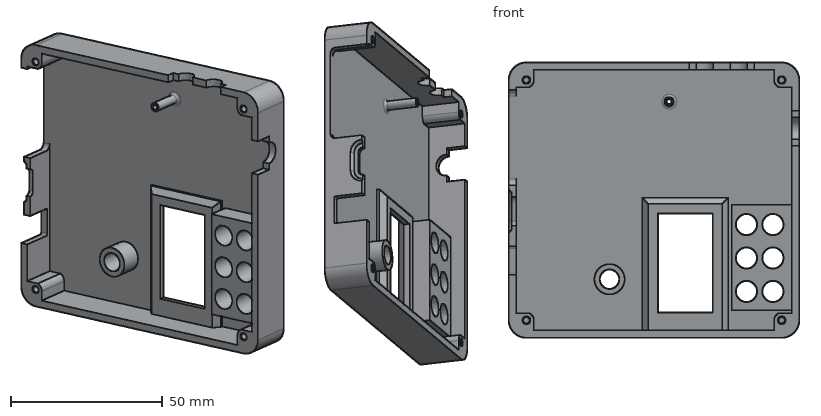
import cadquery as cq
import math


LENGTH = 96.0
HEIGHT = 91.0
DEPTH = 14.8
WALL = 2.5
FLOOR = 2.0
CORNER_RADIUS = 6.0

SCREW_INSET = 5.9
POST_RADIUS = 2.5
POST_FLAT = 8.2
SCREW_DIAMETER = 2.1
SCREW_MOUTH_DIAMETER = 2.6
SCREW_DEPTH = 9.6

FRAME_LEFT = 44.1
FRAME_RIGHT = 72.5
FRAME_TOP = 46.3
FRAME_FRONT = 5.0
FRAME_BEVEL = 2.0
WINDOW_LEFT = 49.3
WINDOW_RIGHT = 67.4
WINDOW_BOTTOM = 8.4
WINDOW_TOP = 41.1
WINDOW_LAND = 2.0

BLOCK_LEFT = 73.6
BLOCK_BOTTOM = 9.1
BLOCK_TOP = 44.0
BLOCK_FRONT = 9.8
BUTTON_DIAMETER = 6.9
BUTTON_COLUMNS = 2
BUTTON_ROWS = 3
BUTTON_FIRST_X = 78.5
BUTTON_FIRST_Z = 15.4
BUTTON_PITCH_X = 8.7
BUTTON_PITCH_Z = 11.0

BOSS_FRONT = BLOCK_FRONT
BOSS_X = 33.3
BOSS_Z = 19.4
BOSS_DIAMETER = 10.0
BOSS_HOLE_DIAMETER = 6.3

PIN_X = 53.0
PIN_Z = 78.0
PIN_FRONT = 13.0
PIN_DIAMETER = 3.0
PIN_HOLE_DIAMETER = 1.6
PIN_FOOT_FILLET = 1.0

TOP_SLOT_FLOOR = 12.0
TOP_SLOT_WIDTH = 21.3
TOP_SLOT_CENTRE = 70.4
TOP_OUTLET_DIAMETER = 5.8
TOP_OUTLET_PITCH = 11.2

RIGHT_SLOT_FLOOR = 8.4
RIGHT_SLOT_WIDTH = 11.6
RIGHT_SLOT_CENTRE = 69.2
RIGHT_OUTLET_DIAMETER = 7.3

UPPER_NOTCH_BOTTOM = 50.5
UPPER_NOTCH_TOP = 82.0
UPPER_NOTCH_RADIUS = 2.0
LOWER_NOTCH_BOTTOM = 20.9
LOWER_NOTCH_TOP = 30.3
LOWER_NOTCH_FLOOR = 3.4
LOWER_NOTCH_RADIUS = 0.7
TAB_RIM = 13.2

SOCKET_Z = 41.9
SOCKET_CENTRE_SPAN = 6.2
SOCKET_RADIUS = 1.6
RECESS_RADIUS = 4.0
RECESS_DEPTH = 1.0
RECESS_TAPER = 45.0


def slab(left, right, bottom, top, back, front):
    """Box given by its X, Z and depth limits."""
    size = (right - left, front - back, top - bottom)
    return cq.Workplane("XY").box(*size, centered=False).translate((left, -front, bottom))


def disc(x, z, diameter, back, front):
    """Cylinder along Y between two depths."""
    return cq.Workplane("XZ", origin=(x, -back, z)).circle(diameter / 2).extrude(front - back)


def screw_post(x, z, side_x, side_z):
    """Corner post; side_x and side_z point from the post towards the enclosure corner.

    The outline is a block filling the corner, rounded about the screw axis where it faces inward.
    """
    flat_offset = POST_FLAT - SCREW_INSET
    half_chord = math.sqrt(POST_RADIUS**2 - flat_offset**2)
    arc_middle = math.atan2(flat_offset, half_chord) / 2

    def place(inward_x, inward_z):
        return -side_x * inward_x, -side_z * inward_z

    return (
        cq.Workplane("XZ", origin=(x, 0, z))
        .moveTo(*place(-SCREW_INSET, -SCREW_INSET))
        .lineTo(*place(POST_RADIUS, -SCREW_INSET))
        .lineTo(*place(POST_RADIUS, 0))
        .threePointArc(
            place(POST_RADIUS * math.cos(arc_middle), POST_RADIUS * math.sin(arc_middle)),
            place(half_chord, flat_offset),
        )
        .lineTo(*place(-SCREW_INSET, flat_offset))
        .close()
        .extrude(DEPTH)
    )


def screw_hole(x, z):
    """Blind hole with a countersunk mouth at the rim."""
    mouth_depth = (SCREW_MOUTH_DIAMETER - SCREW_DIAMETER) / 2
    hole = disc(x, z, SCREW_DIAMETER, DEPTH - SCREW_DEPTH, DEPTH)
    mouth = (
        cq.Workplane("XZ", origin=(x, -DEPTH, z))
        .circle(SCREW_MOUTH_DIAMETER / 2)
        .extrude(-mouth_depth, taper=45)
    )
    return hole.union(mouth)


def shell():
    """Rounded tray with the four screw posts."""
    outer = slab(0, LENGTH, 0, HEIGHT, 0, DEPTH).edges("|Y").fillet(CORNER_RADIUS)
    cavity = slab(WALL, LENGTH - WALL, WALL, HEIGHT - WALL, FLOOR, DEPTH)
    posts = [
        (SCREW_INSET, SCREW_INSET, -1, -1),
        (LENGTH - SCREW_INSET, SCREW_INSET, 1, -1),
        (SCREW_INSET, HEIGHT - SCREW_INSET, -1, 1),
        (LENGTH - SCREW_INSET, HEIGHT - SCREW_INSET, 1, 1),
    ]
    for post in posts:
        cavity = cavity.cut(screw_post(*post))
    tray = outer.cut(cavity)
    for x, z, _, _ in posts:
        tray = tray.cut(screw_hole(x, z))
    return tray


def add_display_frame(body):
    """Frame bevelled on its left, right and top sides around a through window.

    Behind a straight land the window widens at 45 degrees towards the outer back face.
    """
    frame = slab(FRAME_LEFT, FRAME_RIGHT, WALL, FRAME_TOP, FLOOR, FRAME_FRONT)
    frame = frame.faces("<Y").edges("<X or >X or >Z").chamfer(FRAME_BEVEL)
    window = slab(WINDOW_LEFT, WINDOW_RIGHT, WINDOW_BOTTOM, WINDOW_TOP, 0, FRAME_FRONT)
    bevel = FRAME_FRONT - WINDOW_LAND
    width = WINDOW_RIGHT - WINDOW_LEFT + 2 * bevel
    height = WINDOW_TOP - WINDOW_BOTTOM + 2 * bevel
    centre = ((WINDOW_LEFT + WINDOW_RIGHT) / 2, 0, (WINDOW_BOTTOM + WINDOW_TOP) / 2)
    flare = cq.Workplane("XZ", origin=centre).rect(width, height).extrude(bevel, taper=45)
    return body.union(frame).cut(window).cut(flare)


def add_button_block(body):
    """Solid block with a grid of through holes."""
    body = body.union(slab(BLOCK_LEFT, LENGTH - WALL, BLOCK_BOTTOM, BLOCK_TOP, FLOOR, BLOCK_FRONT))
    for column in range(BUTTON_COLUMNS):
        for row in range(BUTTON_ROWS):
            x = BUTTON_FIRST_X + column * BUTTON_PITCH_X
            z = BUTTON_FIRST_Z + row * BUTTON_PITCH_Z
            body = body.cut(disc(x, z, BUTTON_DIAMETER, 0, BLOCK_FRONT))
    return body


def add_boss(body):
    boss = disc(BOSS_X, BOSS_Z, BOSS_DIAMETER, FLOOR, BOSS_FRONT)
    return body.union(boss).cut(disc(BOSS_X, BOSS_Z, BOSS_HOLE_DIAMETER, 0, BOSS_FRONT))


def add_pin(body):
    """Hollow pin whose foot flares into the floor with a concave fillet."""
    radius = PIN_DIAMETER / 2
    foot_radius = radius + PIN_FOOT_FILLET
    foot_top = FLOOR + PIN_FOOT_FILLET
    foot = (
        cq.Workplane("XY")
        .moveTo(0, -FLOOR)
        .lineTo(foot_radius, -FLOOR)
        .radiusArc((radius, -foot_top), -PIN_FOOT_FILLET)
        .lineTo(0, -foot_top)
        .close()
        .revolve(360, (0, 0, 0), (0, 1, 0))
        .translate((PIN_X, 0, PIN_Z))
    )
    body = body.union(foot).union(disc(PIN_X, PIN_Z, PIN_DIAMETER, FLOOR, PIN_FRONT))
    return body.cut(disc(PIN_X, PIN_Z, PIN_HOLE_DIAMETER, 0, PIN_FRONT))


def cut_top_outlets(body):
    half_width = TOP_SLOT_WIDTH / 2
    slot = slab(
        TOP_SLOT_CENTRE - half_width, TOP_SLOT_CENTRE + half_width,
        HEIGHT - WALL, HEIGHT, TOP_SLOT_FLOOR, DEPTH,
    )
    body = body.cut(slot)
    for side in (-1, 1):
        x = TOP_SLOT_CENTRE + side * TOP_OUTLET_PITCH / 2
        outlet = (
            cq.Workplane("XY", origin=(x, -TOP_SLOT_FLOOR, HEIGHT - WALL))
            .circle(TOP_OUTLET_DIAMETER / 2)
            .extrude(WALL)
        )
        body = body.cut(outlet)
    return body


def cut_right_outlet(body):
    half_width = RIGHT_SLOT_WIDTH / 2
    slot = slab(
        LENGTH - WALL, LENGTH,
        RIGHT_SLOT_CENTRE - half_width, RIGHT_SLOT_CENTRE + half_width,
        RIGHT_SLOT_FLOOR, DEPTH,
    )
    outlet = (
        cq.Workplane("YZ", origin=(LENGTH - WALL, -RIGHT_SLOT_FLOOR, RIGHT_SLOT_CENTRE))
        .circle(RIGHT_OUTLET_DIAMETER / 2)
        .extrude(WALL)
    )
    return body.cut(slot).cut(outlet)


def cut_left_notches(body):
    """Deep notches with rounded floor corners, and the lowered tab between them."""
    upper = slab(0, WALL, UPPER_NOTCH_BOTTOM, UPPER_NOTCH_TOP, FLOOR, DEPTH)
    upper = upper.faces(">Y").edges("|X").fillet(UPPER_NOTCH_RADIUS)
    lower = slab(0, WALL, LOWER_NOTCH_BOTTOM, LOWER_NOTCH_TOP, LOWER_NOTCH_FLOOR, DEPTH)
    lower = lower.faces(">Y").edges("|X").fillet(LOWER_NOTCH_RADIUS)
    above_tab = slab(0, WALL, LOWER_NOTCH_TOP, UPPER_NOTCH_BOTTOM, TAB_RIM, DEPTH)
    return body.cut(upper).cut(lower).cut(above_tab)


def socket_outline(radius):
    """Obround lying along Z, centred on the rim of the tab."""
    length = SOCKET_CENTRE_SPAN + 2 * radius
    return cq.Workplane("YZ", origin=(0, -TAB_RIM, SOCKET_Z)).slot2D(length, 2 * radius, 90)


def cut_socket(body):
    recess = socket_outline(RECESS_RADIUS).extrude(RECESS_DEPTH, taper=RECESS_TAPER)
    return body.cut(recess).cut(socket_outline(SOCKET_RADIUS).extrude(WALL))


result = shell()
result = add_display_frame(result)
result = add_button_block(result)
result = add_boss(result)
result = add_pin(result)
result = cut_top_outlets(result)
result = cut_right_outlet(result)
result = cut_left_notches(result)
result = cut_socket(result)